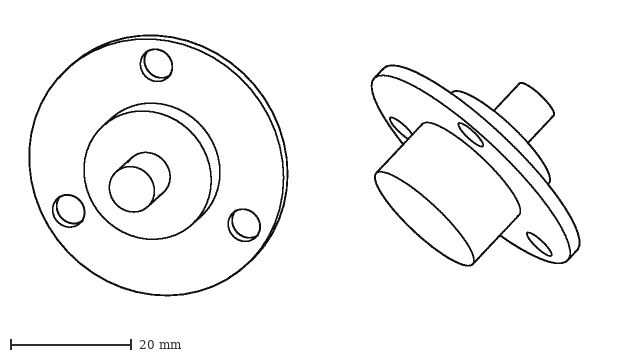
import cadquery as cq

flange_diameter = 44.0
body_diameter = flange_diameter / 2
shaft_diameter = 7.8
hole_diameter = 5.5

hole_count = 3
hole_circle_radius = 17.5
first_hole_angle = 90.0

shaft_length = 9.0
front_boss_length = 5.0
flange_thickness = 2.38
rear_body_length = 11.55


def cylinder_along_y(diameter, start_y, length):
    """Solid cylinder on the Y axis, extending from start_y toward +Y."""
    return cq.Workplane("XZ", origin=(0, start_y, 0)).circle(diameter / 2).extrude(-length)


boss_front_y = -front_boss_length
shaft_tip_y = boss_front_y - shaft_length

shaft = cylinder_along_y(shaft_diameter, shaft_tip_y, shaft_length)
front_boss = cylinder_along_y(body_diameter, boss_front_y, front_boss_length)
flange = cylinder_along_y(flange_diameter, 0, flange_thickness)
rear_body = cylinder_along_y(body_diameter, flange_thickness, rear_body_length)

mounting_holes = (
    cq.Workplane("XZ")
    .polarArray(hole_circle_radius, first_hole_angle, 360, hole_count)
    .circle(hole_diameter / 2)
    .extrude(-flange_thickness)
)

result = flange.cut(mounting_holes).union(front_boss).union(rear_body).union(shaft)